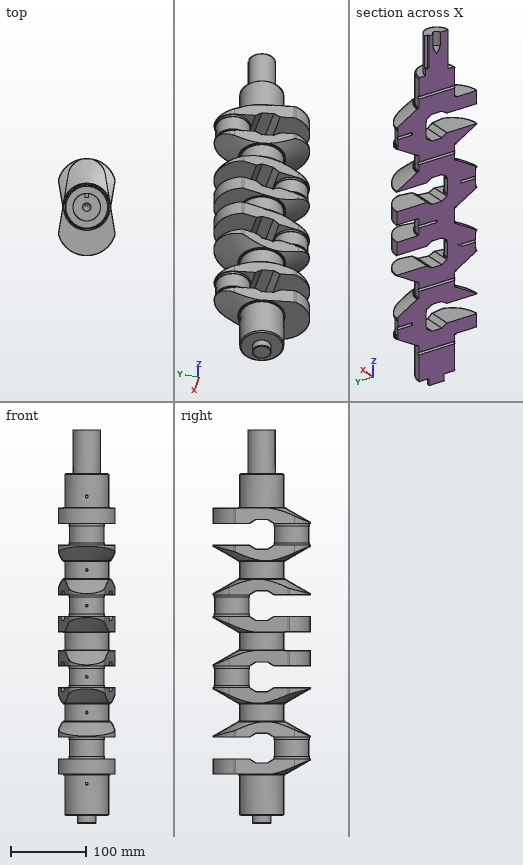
import cadquery as cq
import math

total_length = 524.5
shaft_middle = 243.0
main_length = 25.0
pin_gap = 29.0
web_thickness = 20.5
half_pitch = (main_length + pin_gap) / 2 + web_thickness
tail_length = 10.5
snout_start = 466.5

pin_centers = [shaft_middle + half_pitch * step for step in (3, 1, -1, -3)]
pin_sides = (1, -1, -1, 1)

main_radius = 29.5
shoulder_radius = 31.0
shoulder_height = 1.0
end_chamfer = 1.5
snout_radius = 18.5
tail_radius = 12.5
tail_chamfer = 1.0

crank_throw = 40.0
pin_radius = 23.0
pin_ring_radius = 23.5
pin_ring_height = 3.0

total_depth = 129.5
web_reach = total_depth / 2
pin_end_radius = web_reach - crank_throw
weight_radius = 39.5
weight_center = weight_radius - web_reach
side_angle = math.radians(9.5)
weight_corner_radius = 5.0
bevel_radius = 32.0
bevel_angle = math.radians(30)
bevel_overrun = 5.0
notch_floor_half = 8.0
notch_mouth_half = 16.0
notch_depth = 5.0

keyway_width = 4.5
keyway_floor = 13.0
keyway_bottom = 476.0
center_hole_radius = 11.0 / 2
center_hole_depth = 21.0
center_cone_half_angle = math.radians(30)
center_cone_depth = center_hole_radius / math.tan(center_cone_half_angle)
oil_hole_radius = 1.5
top_oil_hole = 436.0
main_oil_holes = [top_oil_hole] + [shaft_middle + 2 * half_pitch * step for step in (1, 0, -1, -2)]


def cylinder(radius, bottom, top, y=0.0):
    return cq.Workplane("XY", origin=(0, y, bottom)).circle(radius).extrude(top - bottom)


def web_blank():
    """Web with its pin end toward +Y and its outer face at the top."""
    touch_x = pin_end_radius * math.cos(side_angle)
    touch_y = crank_throw + pin_end_radius * math.sin(side_angle)
    line_x, line_y = math.sin(side_angle), -math.cos(side_angle)
    offset_y = touch_y - weight_center
    along = touch_x * line_x + offset_y * line_y
    gap = touch_x**2 + offset_y**2 - weight_radius**2
    travel = -along + math.sqrt(along**2 - gap)
    corner_x = touch_x + travel * line_x
    corner_y = touch_y + travel * line_y
    return (
        cq.Workplane("XY")
        .moveTo(touch_x, touch_y)
        .threePointArc((0, web_reach), (-touch_x, touch_y))
        .lineTo(-corner_x, corner_y)
        .threePointArc((0, -web_reach), (corner_x, corner_y))
        .close()
        .extrude(web_thickness)
        .edges("|Z")
        .edges("<Y")
        .fillet(weight_corner_radius)
    )


def bevel_cutter(both_ends):
    """Material outside the cone, on both ends of a web or on its pin end only."""
    outer_radius = web_reach + bevel_overrun
    drop = (outer_radius - bevel_radius) * math.tan(bevel_angle)
    ring = (
        cq.Workplane("XZ")
        .moveTo(bevel_radius, web_thickness)
        .lineTo(outer_radius, web_thickness)
        .lineTo(outer_radius, web_thickness - drop)
        .close()
        .revolve(360, (0, 0, 0), (0, 1, 0))
    )
    if both_ends:
        return ring
    pin_half = cq.Workplane("XY").center(0, outer_radius / 2)
    return ring.intersect(pin_half.rect(2 * outer_radius, outer_radius).extrude(web_thickness))


def web(both_ends):
    notch = (
        cq.Workplane("YZ")
        .polyline([
            (-notch_mouth_half, 0),
            (notch_mouth_half, 0),
            (notch_floor_half, notch_depth),
            (-notch_floor_half, notch_depth),
        ])
        .close()
        .extrude(web_reach, both=True)
    )
    return web_blank().cut(bevel_cutter(both_ends)).cut(notch)


def crank_throw_unit(center, side, upper_web, lower_web):
    """Crankpin with its end rings and the two webs that carry it."""
    half_gap = pin_gap / 2
    pin_y = crank_throw
    unit = cylinder(pin_radius, -half_gap, half_gap, pin_y)
    unit = unit.union(cylinder(pin_ring_radius, half_gap - pin_ring_height, half_gap, pin_y))
    unit = unit.union(cylinder(pin_ring_radius, -half_gap, pin_ring_height - half_gap, pin_y))
    unit = unit.union(upper_web.translate((0, 0, half_gap)))
    unit = unit.union(lower_web.mirror("XY").translate((0, 0, -half_gap)))
    if side < 0:
        unit = unit.rotate((0, 0, 0), (0, 0, 1), 180)
    return unit.translate((0, 0, center))


def main_bearing(bottom, top, ring_bottom, ring_top):
    bearing = cylinder(main_radius, bottom, top)
    if ring_bottom:
        bearing = bearing.union(cylinder(shoulder_radius, bottom, bottom + shoulder_height))
    else:
        bearing = bearing.faces("<Z").chamfer(end_chamfer)
    if ring_top:
        bearing = bearing.union(cylinder(shoulder_radius, top - shoulder_height, top))
    else:
        bearing = bearing.faces(">Z").chamfer(end_chamfer)
    return bearing


def oil_hole(z, start_y, end_y):
    """Drilling along Y, from start_y down to the lower end_y."""
    plane = cq.Workplane("XZ", origin=(0, start_y, z))
    return plane.circle(oil_hole_radius).extrude(start_y - end_y)


full_weight_web = web(both_ends=False)
bevelled_web = web(both_ends=True)
upper_webs = (full_weight_web, bevelled_web, full_weight_web, bevelled_web)
lower_webs = (bevelled_web, full_weight_web, bevelled_web, full_weight_web)

result = cylinder(tail_radius, 0, tail_length).faces("<Z").chamfer(tail_chamfer)
for center, side, upper, lower in zip(pin_centers, pin_sides, upper_webs, lower_webs):
    result = result.union(crank_throw_unit(center, side, upper, lower))

web_outer_face = pin_gap / 2 + web_thickness
throw_tops = [center + web_outer_face for center in pin_centers]
throw_bottoms = [center - web_outer_face for center in pin_centers]
result = result.union(main_bearing(throw_tops[0], snout_start, True, False))
for bottom, top in zip(throw_tops[1:], throw_bottoms[:-1]):
    result = result.union(main_bearing(bottom, top, True, True))
result = result.union(main_bearing(tail_length, throw_bottoms[-1], False, True))

result = result.union(cylinder(snout_radius, snout_start, total_length))
keyway = (
    cq.Workplane("XY", origin=(0, 0, keyway_bottom))
    .center(0, (keyway_floor + main_radius) / 2)
    .rect(keyway_width, main_radius - keyway_floor)
    .extrude(total_length - keyway_bottom)
)
result = result.cut(keyway)
center_bottom = total_length - center_hole_depth
center_hole = (
    cq.Workplane("XZ")
    .moveTo(0, total_length)
    .lineTo(center_hole_radius, total_length)
    .lineTo(center_hole_radius, center_bottom)
    .lineTo(0, center_bottom - center_cone_depth)
    .close()
    .revolve(360, (0, 0, 0), (0, 1, 0))
)
result = result.cut(center_hole)

middle_bearing = 2
for index, z in enumerate(main_oil_holes):
    end_y = 0 if index == middle_bearing else -main_radius
    result = result.cut(oil_hole(z, main_radius, end_y))
for z, side in zip(pin_centers, pin_sides):
    outside = side * (crank_throw + pin_radius)
    middle = side * crank_throw
    result = result.cut(oil_hole(z, max(outside, middle), min(outside, middle)))